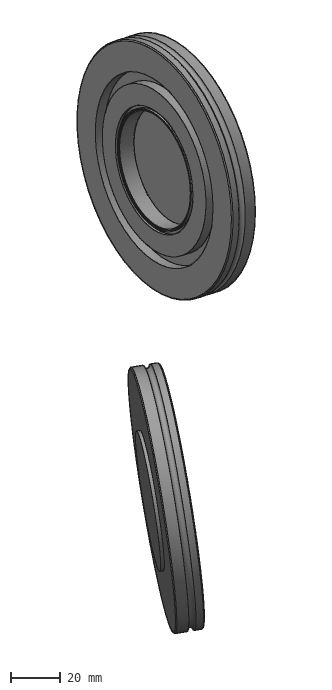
import cadquery as cq

total_depth = 13.5

flange_diameter = 110.0
flange_depth = 12.0
edge_chamfer = 0.5

rim_groove_center = 5.1
rim_groove_diameter = 3.0

face_groove_inner_diameter = 73.2
face_groove_outer_diameter = 83.0
face_groove_depth = 4.6

relief_inner_diameter = 52.0
relief_outer_diameter = 54.7
relief_depth = 1.3

sleeve_outer_diameter = 51.0
sleeve_inner_diameter = 50.0
sleeve_front = 0.5
window_diameter = 58.0
window_front = 7.7


def disc(diameter, start, end):
    """Solid disc about the Y axis, from Y = start to Y = end."""
    plane = cq.Workplane("XZ", origin=(0, start, 0))
    return plane.circle(diameter / 2).extrude(start - end)


def ring(outer_diameter, inner_diameter, start, end):
    """Plain ring about the Y axis, from Y = start to Y = end."""
    return disc(outer_diameter, start, end).cut(disc(inner_diameter, start, end))


def make_rim_groove():
    """Torus that cuts the half-round groove into the rim."""
    profile = cq.Workplane("XY").center(flange_diameter / 2, rim_groove_center).circle(rim_groove_diameter / 2)
    axis_x = -flange_diameter / 2
    return profile.revolve(360, (axis_x, 0, 0), (axis_x, 1, 0))


def make_flange():
    body = disc(flange_diameter, 0, flange_depth).edges().chamfer(edge_chamfer)
    body = body.cut(make_rim_groove())
    body = body.cut(ring(face_groove_outer_diameter, face_groove_inner_diameter, 0, face_groove_depth))
    body = body.cut(ring(relief_outer_diameter, relief_inner_diameter, 0, relief_depth))
    body = body.cut(disc(sleeve_outer_diameter, 0, window_front))
    return body.cut(disc(window_diameter, window_front, total_depth))


def make_sleeve():
    return ring(sleeve_outer_diameter, sleeve_inner_diameter, sleeve_front, window_front)


def make_window():
    return disc(window_diameter, window_front, total_depth)


flange = make_flange()
sleeve = make_sleeve()
window = make_window()

result = cq.Compound.makeCompound([flange.val(), sleeve.val(), window.val()])